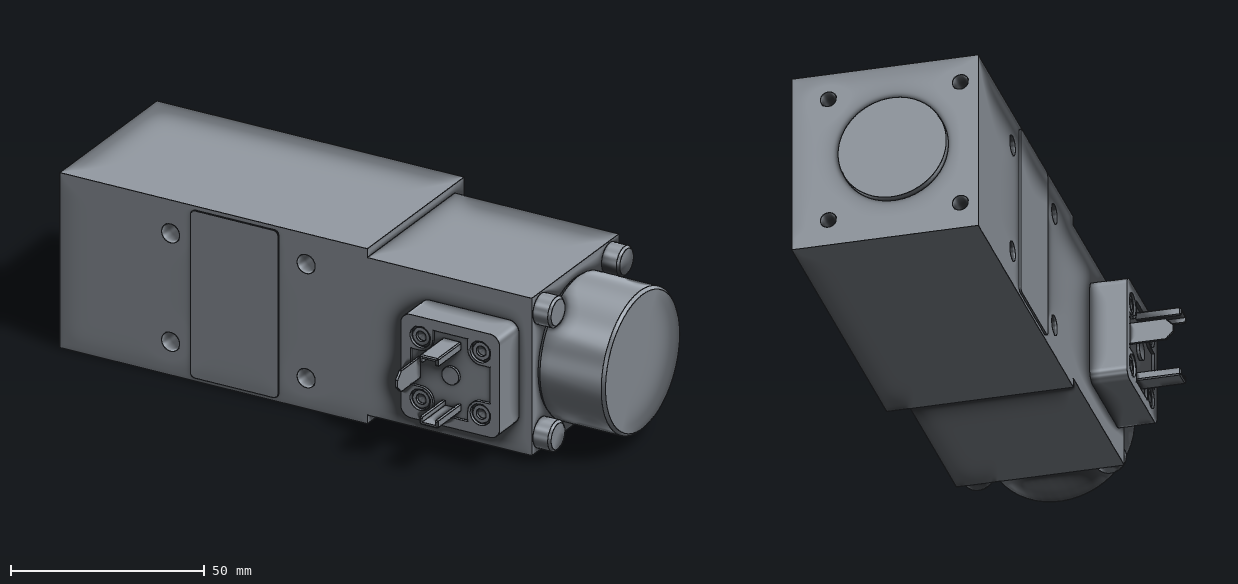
import cadquery as cq
import math


overall_length = 163.0
disc_length = 2.1
valve_length = 91.8
solenoid_length = 49.0
valve_end = disc_length + valve_length
solenoid_end = valve_end + solenoid_length

valve_side = 50.0
solenoid_side = 45.0
front_y = -solenoid_side / 2

disc_diameter = 29.0
end_pattern = 35.4
tapped_diameter = 4.2
tapped_depth = 8.2
drill_point_angle = 118.0

mounting_diameter = 5.4
mounting_pairs = [(35.2, 31.0), (75.6, 32.6)]

plate_width = 26.0
plate_height = 47.8
plate_thickness = 0.5
plate_radius = 1.3
plate_center_x = 54.5

cap_diameter = 40.0
cap_chamfer = 0.8
neck_diameter = 38.5
neck_length = 1.0
head_diameter = 8.5
head_length = 5.0
head_chamfer = 0.7

plug_side = 29.5
plug_depth = 10.0
plug_radius = 3.0
plug_center_x = 124.4
plug_face_y = front_y - plug_depth

cross_span = 23.6
cross_arm = 10.5
recess_depth = 0.8
stub_diameter = 5.0

plug_screw_pitch = 18.0
screw_hole_diameter = 6.0
screw_head_diameter = 5.0
screw_hole_depth = 1.0
screw_head_drop = 0.5
socket_diameter = 3.0
socket_depth = 0.8

pin_length = 11.1
pin_tip_y = plug_face_y - pin_length
blade_thickness = 0.7
blade_width = 5.9
blade_chamfer = 2.0
blade_offset = 9.6
channel_width = 5.5
channel_height = 2.1
channel_outer_z = 10.0
channel_wall = 0.8
channel_chamfer = 0.3


def box(x_range, y_range, z_range):
    """Box between two limits along each axis."""
    size = [high - low for low, high in (x_range, y_range, z_range)]
    corner = (x_range[0], y_range[0], z_range[0])
    return cq.Workplane("XY").box(*size, centered=False).translate(corner)


def plane_x(x):
    """Plane across the spool axis, extruding toward +X."""
    return cq.Workplane("YZ", origin=(x, 0, 0))


def plane_front(x, y):
    """Plane parallel to the front face, extruding outward toward -Y."""
    return cq.Workplane("XZ", origin=(x, y, 0))


def make_blocks():
    valve = box(
        (disc_length, valve_end),
        (front_y, front_y + valve_side),
        (-valve_side / 2, valve_side / 2),
    )
    solenoid = box(
        (valve_end, solenoid_end),
        (front_y, front_y + solenoid_side),
        (-solenoid_side / 2, solenoid_side / 2),
    )
    disc = plane_x(0).circle(disc_diameter / 2).extrude(disc_length)
    return valve.union(solenoid).union(disc)


def make_drill(diameter, depth):
    """Drilled hole running toward +X from the origin, with a conical bottom."""
    radius = diameter / 2
    point_length = radius / math.tan(math.radians(drill_point_angle / 2))
    return (
        cq.Workplane("XY")
        .lineTo(0, radius)
        .lineTo(depth, radius)
        .lineTo(depth + point_length, 0)
        .close()
        .revolve(360, (0, 0, 0), (1, 0, 0))
    )


def corners(pitch):
    """Corner positions of a square pattern centred on the origin."""
    half = pitch / 2
    return [(u, v) for u in (-half, half) for v in (-half, half)]


def make_tapped_holes():
    """Blind holes in the left face."""
    drill = make_drill(tapped_diameter, tapped_depth)
    holes = cq.Workplane("XY")
    for y, z in corners(end_pattern):
        holes = holes.add(drill.translate((disc_length, y, z)))
    return holes.combine()


def make_mounting_holes():
    holes = cq.Workplane("XY")
    for x, spacing in mounting_pairs:
        pair = (
            plane_front(x, front_y + valve_side)
            .pushPoints([(0, -spacing / 2), (0, spacing / 2)])
            .circle(mounting_diameter / 2)
            .extrude(valve_side)
        )
        holes = holes.add(pair)
    return holes.combine()


def make_plate():
    return (
        plane_front(plate_center_x, front_y)
        .rect(plate_width, plate_height)
        .extrude(plate_thickness)
        .edges("|Y")
        .fillet(plate_radius)
    )


def make_cap():
    """Round cap on a short neck."""
    neck = plane_x(solenoid_end).circle(neck_diameter / 2).extrude(neck_length)
    cap_start = solenoid_end + neck_length
    cap = (
        plane_x(cap_start)
        .circle(cap_diameter / 2)
        .extrude(overall_length - cap_start)
        .faces(">X")
        .chamfer(cap_chamfer)
    )
    return neck.union(cap)


def make_cap_screws():
    return (
        plane_x(solenoid_end)
        .pushPoints(corners(end_pattern))
        .circle(head_diameter / 2)
        .extrude(head_length)
        .faces(">X")
        .chamfer(head_chamfer)
    )


def at_plug_screws(y):
    """Workplane holding the four plug screw positions at depth y."""
    return plane_front(plug_center_x, y).pushPoints(corners(plug_screw_pitch))


def make_plug_base():
    base = (
        plane_front(plug_center_x, front_y)
        .rect(plug_side, plug_side)
        .extrude(plug_depth)
        .edges("|Y")
        .fillet(plug_radius)
    )

    floor = plane_front(plug_center_x, plug_face_y + recess_depth)
    half_arm = cross_arm / 2
    corner_radius = plug_screw_pitch / 2 - half_arm
    inner_corners = cq.selectors.BoxSelector(
        (plug_center_x - plug_screw_pitch / 2, plug_face_y, -plug_screw_pitch / 2),
        (plug_center_x + plug_screw_pitch / 2, plug_face_y + recess_depth, plug_screw_pitch / 2),
    )
    cross = (
        floor.rect(cross_span, cross_arm)
        .extrude(recess_depth)
        .union(floor.rect(cross_arm, cross_span).extrude(recess_depth))
        .edges("|Y")
        .edges(inner_corners)
        .fillet(corner_radius)
    )
    stub = floor.circle(stub_diameter / 2).extrude(recess_depth)
    return base.cut(cross.cut(stub))


def make_plug_screw_holes():
    """Screw holes, each keeping a sunken screw head with a drilled socket."""
    bottom_y = plug_face_y + screw_hole_depth
    holes = at_plug_screws(bottom_y).circle(screw_hole_diameter / 2).extrude(screw_hole_depth)
    head_height = screw_hole_depth - screw_head_drop
    heads = at_plug_screws(bottom_y).circle(screw_head_diameter / 2).extrude(head_height)
    cavities = holes.cut(heads)
    socket = make_drill(socket_diameter, socket_depth).rotate((0, 0, 0), (0, 0, 1), 90)
    for x, z in corners(plug_screw_pitch):
        place = (plug_center_x + x, plug_face_y + screw_head_drop, z)
        cavities = cavities.union(socket.translate(place))
    return cavities


def make_blade_pin():
    """Flat earth pin with a chamfered tip."""
    root_y = plug_face_y + recess_depth
    return (
        plane_front(plug_center_x - blade_offset, root_y)
        .rect(blade_thickness, blade_width)
        .extrude(root_y - pin_tip_y)
        .faces("<Y")
        .edges("|X")
        .chamfer(blade_chamfer)
    )


def make_channel_pin():
    """Upper contact pin: a folded channel opening toward the plug centre."""
    half_width = channel_width / 2
    y_range = (pin_tip_y, plug_face_y + recess_depth)
    inner_z = channel_outer_z - channel_height
    outside = box(
        (plug_center_x - half_width, plug_center_x + half_width),
        y_range,
        (inner_z, channel_outer_z),
    )
    outside = outside.edges("|Y and >Z").chamfer(channel_chamfer).faces("<Y").chamfer(channel_chamfer)
    half_gap = half_width - channel_wall
    gap = box(
        (plug_center_x - half_gap, plug_center_x + half_gap),
        y_range,
        (inner_z, channel_outer_z - channel_wall),
    )
    return outside.cut(gap)


upper_pin = make_channel_pin()
lower_pin = upper_pin.mirror("XY")

result = make_blocks()
result = result.cut(make_tapped_holes()).cut(make_mounting_holes())
for feature in (make_plate(), make_cap(), make_cap_screws(), make_plug_base()):
    result = result.union(feature)
result = result.cut(make_plug_screw_holes())
for pin in (make_blade_pin(), upper_pin, lower_pin):
    result = result.union(pin)